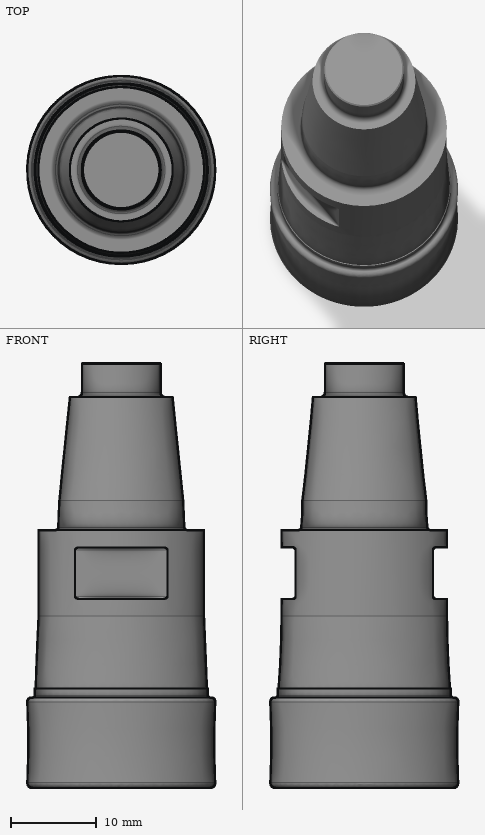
import cadquery as cq

total_height = 49.5
collar_radius = 11.0

collar_height = 11.6
collar_shoulder_z = 10.55
collar_neck_radius = 10.1
collar_waist_depth = 0.15
collar_neck_fillet = 0.25
collar_top_fillet = 0.5
collar_bottom_fillet = 0.6

skirt_radius = 10.0
skirt_top_z = 20.05
barrel_radius = 19.3 / 2
barrel_top_z = 30.05
taper_foot_radius = 7.4
taper_break_radius = 7.25
taper_break_z = 33.45
taper_top_radius = 6.0
taper_top_z = 45.55
taper_foot_fillet = 0.3
tip_radius = 9.2 / 2
tip_fillet = 0.5
tip_chamfer = 0.15

flat_distance = 8.0
flat_bottom_z = 22.05
flat_top_z = 28.0
flat_fillet = 0.3

match_tolerance = 0.005


def revolve_about_z(half_profile):
    """Revolve a closed XZ half profile about the Z axis."""
    return half_profile.close().revolve(360, (0, 0, 0), (0, 1, 0))


def round_circle(solid, radius, height, fillet):
    """Fillet the horizontal circle of the given radius at the given height."""
    rim = [
        edge for edge in solid.edges("%CIRCLE").vals()
        if abs(edge.radius() - radius) < match_tolerance
        and abs(edge.Center().z - height) < match_tolerance
    ]
    return solid.newObject(rim).fillet(fillet)


def make_collar():
    waist_z = collar_shoulder_z / 2
    collar = revolve_about_z(
        cq.Workplane("XZ")
        .lineTo(collar_radius, 0)
        .threePointArc(
            (collar_radius - collar_waist_depth, waist_z),
            (collar_radius, collar_shoulder_z),
        )
        .lineTo(collar_neck_radius, collar_shoulder_z)
        .lineTo(collar_neck_radius, collar_height)
        .lineTo(0, collar_height)
    )
    rounded_rims = [
        (collar_radius, 0, collar_bottom_fillet),
        (collar_radius, collar_shoulder_z, collar_top_fillet),
        (collar_neck_radius, collar_shoulder_z, collar_neck_fillet),
    ]
    for radius, height, fillet in rounded_rims:
        collar = round_circle(collar, radius, height, fillet)
    return collar


def make_flat_cutter(side):
    """Block that removes one wrench flat, side being -1 or +1 along Y."""
    depth = collar_radius - flat_distance
    inner_edges = "|X and >Y" if side < 0 else "|X and <Y"
    return (
        cq.Workplane("XY")
        .box(2 * collar_radius, depth, flat_top_z - flat_bottom_z)
        .edges(inner_edges)
        .fillet(flat_fillet)
        .translate((0, side * (flat_distance + depth / 2), (flat_top_z + flat_bottom_z) / 2))
    )


def make_body():
    body = revolve_about_z(
        cq.Workplane("XZ")
        .moveTo(0, collar_height)
        .lineTo(skirt_radius, collar_height)
        .lineTo(barrel_radius, skirt_top_z)
        .lineTo(barrel_radius, barrel_top_z)
        .lineTo(taper_foot_radius, barrel_top_z)
        .lineTo(taper_break_radius, taper_break_z)
        .lineTo(taper_top_radius, taper_top_z)
        .lineTo(tip_radius, taper_top_z)
        .lineTo(tip_radius, total_height)
        .lineTo(0, total_height)
    )
    body = round_circle(body, taper_foot_radius, barrel_top_z, taper_foot_fillet)
    body = round_circle(body, tip_radius, taper_top_z, tip_fillet)
    body = body.faces(">Z").edges().chamfer(tip_chamfer)
    for side in (-1, 1):
        body = body.cut(make_flat_cutter(side))
    return body


collar = make_collar()
body = make_body()

result = cq.Compound.makeCompound([collar.val(), body.val()])